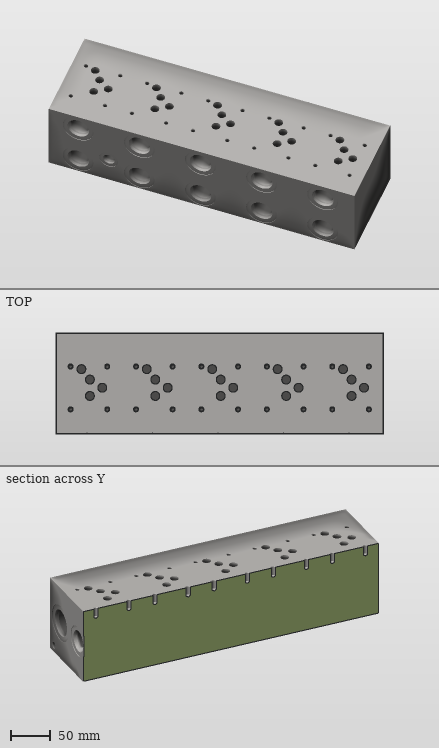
import cadquery as cq
import math

LENGTH = 412.8
WIDTH = 127.0
HEIGHT = 101.5

STATION_COUNT = 5
STATION_PITCH = 82.5
FIRST_STATION_X = -LENGTH / 2 + 39.5

UPPER_PORT_Z = 79.5
LOWER_PORT_Z = 22.3

GAUGE_X = FIRST_STATION_X + STATION_PITCH / 2
GAUGE_Z = 37.5

TANK_Y = 33.5
PRESSURE_Y = -18.0
END_PORT_Z = HEIGHT / 2

SPOTFACE_DEPTH = 1.0
SEAT_ANGLE = 15.0
WORK_PORT = dict(spotface=41.3, seat=29.0, seat_depth=3.5, bore=24.8, depth=24.8)
PRESSURE_PORT = dict(spotface=41.3, seat=29.0, seat_depth=3.5, bore=24.8, depth=24.8)
TANK_PORT = dict(spotface=49.0, seat=35.5, seat_depth=3.5, bore=31.0, depth=29.0)
GAUGE_PORT = dict(spotface=25.0, seat=15.5, seat_depth=2.5, bore=13.0, depth=16.5)

PATTERN_X = -21.5
PATTERN_Y = 21.5
SCREW_SPACING_X = 46.2
SCREW_SPACING_Y = 54.0
PASSAGE_OFFSETS = [(13.5, 3.5), (24.5, 16.5), (24.5, 37.0), (40.0, 27.0)]
PASSAGE_DIAMETER = 11.0
PASSAGE_DEPTH = 20.5

DRILL_POINT_ANGLE = 118.0
VALVE_SCREW = dict(mouth=6.0, bore=5.0, depth=12.5)
END_SCREW = dict(mouth=9.5, bore=8.0, depth=16.5)
END_SCREW_Y = 52.5
END_SCREW_Z = 9.0


def turned_cutter(profile):
    """Revolve (radius, depth) points about Z, with depth running down from Z = 0."""
    points = [(radius, -depth) for radius, depth in profile]
    return cq.Workplane("XZ").polyline(points).close().revolve(360, (0, 0), (0, 1))


def port_cutter(spotface, seat, seat_depth, bore, depth):
    """Shallow spotface, tapered seat, 45-degree step and flat-bottomed bore."""
    seat_end = SPOTFACE_DEPTH + seat_depth
    seat_end_radius = seat / 2 - seat_depth * math.tan(math.radians(SEAT_ANGLE))
    bore_start = seat_end + seat_end_radius - bore / 2
    return turned_cutter([
        (0, 0),
        (spotface / 2, 0),
        (spotface / 2, SPOTFACE_DEPTH),
        (seat / 2, SPOTFACE_DEPTH),
        (seat_end_radius, seat_end),
        (bore / 2, bore_start),
        (bore / 2, depth),
        (0, depth),
    ])


def screw_cutter(mouth, bore, depth):
    """45-degree mouth chamfer, bore and conical drill-point bottom."""
    point_height = bore / 2 / math.tan(math.radians(DRILL_POINT_ANGLE / 2))
    return turned_cutter([
        (0, 0),
        (mouth / 2, 0),
        (bore / 2, (mouth - bore) / 2),
        (bore / 2, depth),
        (0, depth + point_height),
    ])


def on_front(cutter, x, z):
    """Aim a cutter into the front face."""
    return cutter.rotate((0, 0, 0), (1, 0, 0), 90).translate((x, -WIDTH / 2, z))


def on_left_end(cutter, y, z):
    """Aim a cutter into the left end face."""
    return cutter.rotate((0, 0, 0), (0, 1, 0), -90).translate((-LENGTH / 2, y, z))


def on_top(cutter, x, y):
    """Aim a cutter into the top face."""
    return cutter.translate((x, y, HEIGHT))


result = cq.Workplane("XY").box(LENGTH, WIDTH, HEIGHT, centered=(True, True, False))

work_port = port_cutter(**WORK_PORT)
valve_screw = screw_cutter(**VALVE_SCREW)
passage = cq.Workplane("XY").circle(PASSAGE_DIAMETER / 2).extrude(-PASSAGE_DEPTH)
for station in range(STATION_COUNT):
    station_x = FIRST_STATION_X + station * STATION_PITCH
    for port_z in (LOWER_PORT_Z, UPPER_PORT_Z):
        result = result.cut(on_front(work_port, station_x, port_z))

    pattern_x = station_x + PATTERN_X
    for screw_x in (pattern_x, pattern_x + SCREW_SPACING_X):
        for screw_y in (PATTERN_Y, PATTERN_Y - SCREW_SPACING_Y):
            result = result.cut(on_top(valve_screw, screw_x, screw_y))
    for right, forward in PASSAGE_OFFSETS:
        result = result.cut(on_top(passage, pattern_x + right, PATTERN_Y - forward))

result = result.cut(on_front(port_cutter(**GAUGE_PORT), GAUGE_X, GAUGE_Z))

result = result.cut(on_left_end(port_cutter(**TANK_PORT), TANK_Y, END_PORT_Z))
result = result.cut(on_left_end(port_cutter(**PRESSURE_PORT), PRESSURE_Y, END_PORT_Z))
end_screw = screw_cutter(**END_SCREW)
for screw_y in (-END_SCREW_Y, END_SCREW_Y):
    result = result.cut(on_left_end(end_screw, screw_y, END_SCREW_Z))